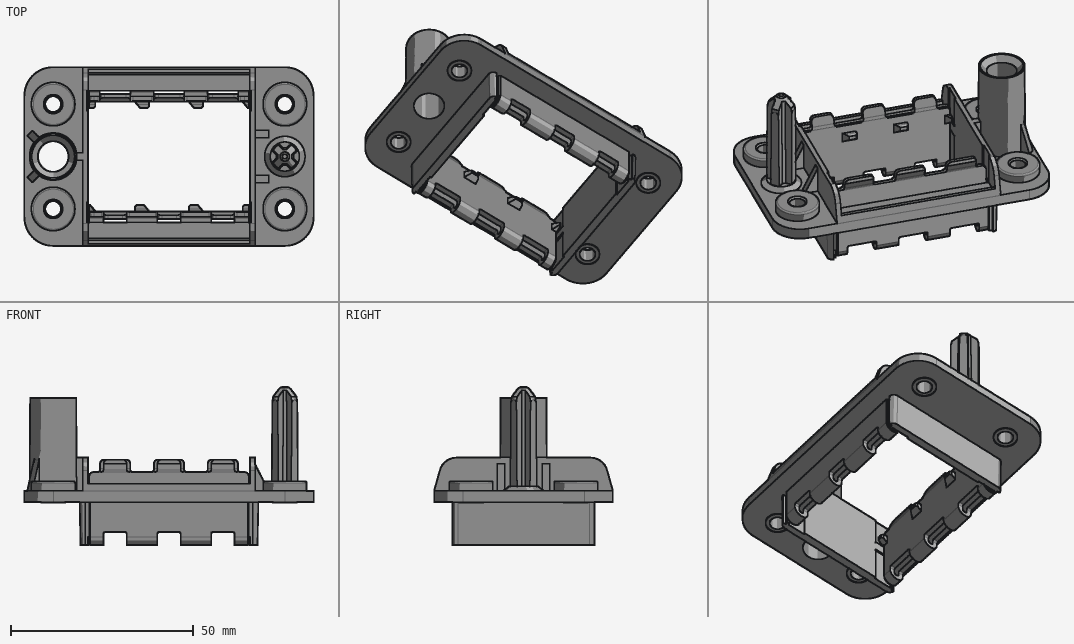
import cadquery as cq
import math

PLATE_LENGTH = 79.3
PLATE_WIDTH = 49.0
PLATE_THICKNESS = 3.1
PLATE_CORNER_RADIUS = 7.9
BODY_BOTTOM = -11.8

WINDOW_HALF_LENGTH = 22.1
WINDOW_HALF_WIDTH = 18.0

BOSS_X = 31.7
BOSS_Y = 14.35
BOSS_DIAMETER = 12.0
BOSS_TOP = 5.7
BOSS_FILLET = 0.5
SCREW_HOLE_DIAMETER = 4.3
SCREW_CHAMFER = 0.5
PAD_DIAMETER = 6.6
PAD_HEIGHT = 0.2

END_WALL_OUTER_X = 23.55
END_WALL_TOP = 12.2
END_WALL_LEAN = 0.28
END_WALL_TOP_RADIUS = 4.8
END_SKIRT_OUTER_X = 24.5
END_SKIRT_BOTTOM_X = 24.3
END_SKIRT_CORNER_RADIUS = 1.5
CLEARANCE_DEPTH = 0.4
CLEARANCE_START_Y = 12.5

RIM_TOP = 5.1
RIM_TOP_WIDTH = 1.0
RIM_INNER_RUN = 0.5
LEDGE_TOP = 3.6

WALL_THICKNESS = 1.5
CHANNEL_WIDTH = 1.5
WALL_INNER_Y = WINDOW_HALF_WIDTH - CHANNEL_WIDTH - WALL_THICKNESS
SKIRT_OUTER_Y = WINDOW_HALF_WIDTH + WALL_THICKNESS
WALL_HALF_LENGTH = 21.9
WALL_TOP = 8.25
WALL_CORNER_RADIUS = 1.3
WALL_CHAMFER = 0.3
GROOVE_OUTER_X = 22.9
GROOVE_DEPTH = 0.8

LUG_PITCH = 14.75
LUG_STEPS = (-1, 0, 1)
HOOK_STEPS = (-1.5, -0.5, 0.5, 1.5)
LUG_TOP = 11.65
LUG_OVERHANG = 0.6
LUG_LIP_BOTTOM = 10.55
LUG_LEAN = 1.1
LUG_INNER_BLEND = (0.15, 9.2)
LUG_OUTER_BLEND = (0.1, 8.9)
LUG_BLEND_RADIUS = 2.5
LUG_CORNER_RADIUS = 1.2
LUG_FOOT_RADIUS = 0.6
FRONT_LUG_WIDTH = 6.35
BACK_LUG_WIDTH = 8.3
NOTCH_TOP = -8.25
NOTCH_CORNER_RADIUS = 0.5

HOOK_REACH = 1.75
HOOK_WIDTH = 3.9
HOOK_BOTTOM = 2.85
HOOK_TIP_BOTTOM = 4.2
HOOK_TOP = 5.55
HOOK_TIP_TOP = 5.3
HOOK_FLAT = 0.7
HOOK_TIP_CHAMFER = 0.5
HOOK_SLANT = 1.4

TUBE_X = -31.7
TUBE_TOP = 28.55
TUBE_BASE_DIAMETER = 13.0
TUBE_TOP_DIAMETER = 12.7
TUBE_BORE_DIAMETER = 8.3
TUBE_MOUTH_DIAMETER = 11.7
TUBE_MOUTH_DEPTH = 1.6
RIB_THICKNESS = 2.0
TUBE_RIB_REACH = 9.05
TUBE_RIB_TOP = 11.9
TUBE_RIB_ANGLES = (135, 225)

POST_X = 31.7
POST_TOP = 31.6
POST_BASE_DIAMETER = 11.1
POST_BASE_TOP_DIAMETER = 8.0
POST_BASE_HEIGHT = 1.2
ARM_ANGLES = (45, 135)
ARM_REACH = 3.8
ARM_BASE_WIDTH = 2.7
ARM_TOP_WIDTH = 2.1
POST_CORE_BASE_WIDTH = 4.9
POST_CORE_TOP_WIDTH = 3.8
POST_SHOULDERS = ((4.0, 27.35), (3.65, 28.9), (1.3, 31.3), (0.675, POST_TOP))

GUSSET_Y = 6.2
GUSSET_THICKNESS = 2.1
GUSSET_TOP = 10.5
GUSSET_FOOT_X = 27.3


def box(x0, x1, y0, y1, z0, z1):
    """Box between two opposite corners."""
    return cq.Workplane("XY").box(x1 - x0, y1 - y0, z1 - z0, centered=False).translate((x0, y0, z0))


def prism_along_x(points, x0, x1):
    """Closed (y, z) outline extruded from x0 to x1."""
    return cq.Workplane("YZ").polyline(points).close().extrude(x1 - x0).translate((x0, 0, 0))


def prism_along_y(points, thickness, y=0.0):
    """Closed (x, z) outline extruded in Y, centred on y."""
    return cq.Workplane("XZ").polyline(points).close().extrude(thickness / 2, both=True).translate((0, y, 0))


def edge_y(z):
    """Half width of the leaning long sides at height z."""
    return PLATE_WIDTH / 2 - END_WALL_LEAN * (z - PLATE_THICKNESS)


def make_plate():
    plate = cq.Workplane("XY").rect(PLATE_LENGTH, PLATE_WIDTH).extrude(PLATE_THICKNESS)
    plate = plate.edges("|Z").fillet(PLATE_CORNER_RADIUS)
    window = box(-WINDOW_HALF_LENGTH, WINDOW_HALF_LENGTH, -WINDOW_HALF_WIDTH, WINDOW_HALF_WIDTH,
                 0, PLATE_THICKNESS)
    return plate.cut(window)


def make_end_wall():
    """Wall at +X: rounded blade above the plate and a skirt below it."""
    blade = prism_along_x(
        [(-edge_y(PLATE_THICKNESS), PLATE_THICKNESS), (-edge_y(END_WALL_TOP), END_WALL_TOP),
         (edge_y(END_WALL_TOP), END_WALL_TOP), (edge_y(PLATE_THICKNESS), PLATE_THICKNESS)],
        WINDOW_HALF_LENGTH, END_WALL_OUTER_X)
    blade = blade.edges("|X and >Z").fillet(END_WALL_TOP_RADIUS)
    skirt = prism_along_y(
        [(WINDOW_HALF_LENGTH, 0), (END_SKIRT_OUTER_X, 0), (END_SKIRT_BOTTOM_X, BODY_BOTTOM),
         (WINDOW_HALF_LENGTH, BODY_BOTTOM)], 2 * SKIRT_OUTER_Y)
    skirt = skirt.faces(">X").edges("not |Y").fillet(END_SKIRT_CORNER_RADIUS)
    return blade.union(skirt)


def make_end_wall_clearance():
    """Cuts at +X: pockets beside the spring walls and grooves beside the side skirts."""
    cuts = cq.Workplane("XY")
    groove_floor_y = SKIRT_OUTER_Y - GROOVE_DEPTH
    pocket = box(WALL_HALF_LENGTH, WINDOW_HALF_LENGTH + CLEARANCE_DEPTH,
                 CLEARANCE_START_Y, WINDOW_HALF_WIDTH, BODY_BOTTOM, END_WALL_TOP)
    groove = box(WALL_HALF_LENGTH, GROOVE_OUTER_X, groove_floor_y, SKIRT_OUTER_Y, BODY_BOTTOM, 0)
    for cut in (pocket, groove):
        cuts = cuts.add(cut).add(cut.mirror("XZ"))
    return cuts.combine()


def make_rim():
    """Raised rim and ledge along the -Y side of the plate."""
    crest_y = edge_y(RIM_TOP)
    inner_y = crest_y - RIM_TOP_WIDTH
    return prism_along_x(
        [(-edge_y(PLATE_THICKNESS), PLATE_THICKNESS), (-crest_y, RIM_TOP), (-inner_y, RIM_TOP),
         (-inner_y + RIM_INNER_RUN, LEDGE_TOP), (-WINDOW_HALF_WIDTH, LEDGE_TOP),
         (-WINDOW_HALF_WIDTH, PLATE_THICKNESS)],
        -WINDOW_HALF_LENGTH, WINDOW_HALF_LENGTH)


def make_channel():
    """U section at -Y: side skirt, rounded bottom and free spring wall."""
    outer_radius = (SKIRT_OUTER_Y - WALL_INNER_Y) / 2
    inner_radius = CHANNEL_WIDTH / 2
    centre_y = -(SKIRT_OUTER_Y + WALL_INNER_Y) / 2
    centre_z = BODY_BOTTOM + outer_radius
    section = (
        cq.Workplane("YZ")
        .moveTo(-SKIRT_OUTER_Y, 0)
        .lineTo(-SKIRT_OUTER_Y, centre_z)
        .threePointArc((centre_y, BODY_BOTTOM), (-WALL_INNER_Y, centre_z))
        .lineTo(-WALL_INNER_Y, WALL_TOP)
        .lineTo(-WALL_INNER_Y - WALL_THICKNESS, WALL_TOP)
        .lineTo(-WALL_INNER_Y - WALL_THICKNESS, centre_z)
        .threePointArc((centre_y, centre_z - inner_radius), (-WINDOW_HALF_WIDTH, centre_z))
        .lineTo(-WINDOW_HALF_WIDTH, 0)
        .close()
    )
    channel = section.extrude(WALL_HALF_LENGTH, both=True)
    channel = channel.edges("|Y and >Z").fillet(WALL_CORNER_RADIUS)
    inner_top_edge = cq.selectors.NearestToPointSelector((0, -WALL_INNER_Y, WALL_TOP))
    channel = channel.edges(inner_top_edge).chamfer(WALL_CHAMFER)
    web = box(-GROOVE_OUTER_X, GROOVE_OUTER_X, -SKIRT_OUTER_Y + GROOVE_DEPTH, -WINDOW_HALF_WIDTH,
              centre_z, 0)
    return channel.union(web)


def make_notch(width, x):
    """Cutter for a notch through the bottom of the channel at -Y."""
    notch = box(x - width / 2, x + width / 2, -SKIRT_OUTER_Y, -WALL_INNER_Y, BODY_BOTTOM, NOTCH_TOP)
    return notch.edges("|Y and >Z").fillet(NOTCH_CORNER_RADIUS)


def make_lug(width, x):
    """Outward leaning lug with an undercut lip on top of the wall at -Y."""
    half = width / 2
    foot = half + LUG_FOOT_RADIUS
    wall_outer_y = -WALL_INNER_Y - WALL_THICKNESS
    lip_y = wall_outer_y - LUG_OVERHANG
    root_z = WALL_TOP - WALL_CHAMFER
    inner_travel, inner_blend_top = LUG_INNER_BLEND
    outer_travel, outer_blend_top = LUG_OUTER_BLEND
    section = (
        cq.Workplane("YZ")
        .moveTo(-WALL_INNER_Y, root_z)
        .lineTo(-WALL_INNER_Y, WALL_TOP)
        .radiusArc((-WALL_INNER_Y - inner_travel, inner_blend_top), -LUG_BLEND_RADIUS)
        .lineTo(-WALL_INNER_Y - LUG_LEAN, LUG_TOP)
        .lineTo(lip_y, LUG_TOP)
        .lineTo(lip_y, LUG_LIP_BOTTOM)
        .lineTo(wall_outer_y - outer_travel, outer_blend_top)
        .radiusArc((wall_outer_y, WALL_TOP), LUG_BLEND_RADIUS)
        .lineTo(wall_outer_y, root_z)
        .close()
        .extrude(foot, both=True)
    )
    outline = (
        cq.Workplane("XZ")
        .moveTo(-foot, root_z)
        .lineTo(-foot, WALL_TOP)
        .radiusArc((-half, WALL_TOP + LUG_FOOT_RADIUS), -LUG_FOOT_RADIUS)
        .lineTo(-half, LUG_TOP - LUG_CORNER_RADIUS)
        .radiusArc((-half + LUG_CORNER_RADIUS, LUG_TOP), LUG_CORNER_RADIUS)
        .lineTo(half - LUG_CORNER_RADIUS, LUG_TOP)
        .radiusArc((half, LUG_TOP - LUG_CORNER_RADIUS), LUG_CORNER_RADIUS)
        .lineTo(half, WALL_TOP + LUG_FOOT_RADIUS)
        .radiusArc((foot, WALL_TOP), -LUG_FOOT_RADIUS)
        .lineTo(foot, root_z)
        .close()
        .extrude(PLATE_WIDTH / 2)
    )
    return section.intersect(outline).translate((x, 0, 0))


def make_hook(x):
    """Snap hook on the inner face of the wall at -Y, one flank slanted, cut off at the wall end."""
    half = HOOK_WIDTH / 2
    root_y = -WALL_INNER_Y
    tip_y = root_y + HOOK_REACH
    section = prism_along_x(
        [(root_y, HOOK_BOTTOM), (root_y, HOOK_TOP), (root_y + HOOK_FLAT, HOOK_TOP),
         (tip_y, HOOK_TIP_TOP), (tip_y, HOOK_TIP_BOTTOM)],
        -WALL_HALF_LENGTH, WALL_HALF_LENGTH)
    outline = (
        cq.Workplane("XY")
        .polyline([(x - half, root_y), (x - half, tip_y - HOOK_TIP_CHAMFER),
                   (x - half + HOOK_TIP_CHAMFER, tip_y), (x + half - HOOK_SLANT, tip_y),
                   (x + half, root_y)])
        .close()
        .extrude(HOOK_TOP)
    )
    return section.intersect(outline)


def make_long_side(lug_width):
    """Complete -Y long side with lugs and notches of the given width."""
    side = make_rim().union(make_channel())
    for step in LUG_STEPS:
        side = side.cut(make_notch(lug_width, step * LUG_PITCH))
        side = side.union(make_lug(lug_width, step * LUG_PITCH))
    for step in HOOK_STEPS:
        side = side.union(make_hook(step * LUG_PITCH))
    return side


def make_tube():
    """Tapered tube with two diagonal ribs and a rib to the end wall, not yet bored."""
    tube = (
        cq.Workplane("XY").circle(TUBE_BASE_DIAMETER / 2)
        .workplane(offset=TUBE_TOP).circle(TUBE_TOP_DIAMETER / 2).loft()
    )
    rib = prism_along_y(
        [(0, 0), (TUBE_RIB_REACH, 0), (TUBE_RIB_REACH, PLATE_THICKNESS),
         (TUBE_TOP_DIAMETER / 2, TUBE_RIB_TOP), (0, TUBE_RIB_TOP)], RIB_THICKNESS)
    for angle in TUBE_RIB_ANGLES:
        tube = tube.union(rib.rotate((0, 0, 0), (0, 0, 1), angle))
    wall_rib = box(0, -END_WALL_OUTER_X - TUBE_X, -RIB_THICKNESS / 2, RIB_THICKNESS / 2, 0, END_WALL_TOP)
    return tube.union(wall_rib).translate((TUBE_X, 0, 0))


def make_tube_bore():
    """Through bore with a conical mouth."""
    bore = TUBE_BORE_DIAMETER / 2
    mouth = TUBE_MOUTH_DIAMETER / 2
    return (
        cq.Workplane("XZ")
        .polyline([(0, 0), (bore, 0), (bore, TUBE_TOP - TUBE_MOUTH_DEPTH), (mouth, TUBE_TOP), (0, TUBE_TOP)])
        .close().revolve(360, (0, 0), (0, 1))
        .translate((TUBE_X, 0, 0))
    )


def make_post():
    """Cross-shaped post with a pointed tip on a conical foot."""
    post = (
        cq.Workplane("XY").rect(POST_CORE_BASE_WIDTH, POST_CORE_BASE_WIDTH)
        .workplane(offset=POST_TOP).rect(POST_CORE_TOP_WIDTH, POST_CORE_TOP_WIDTH).loft()
    )
    arm = (
        cq.Workplane("XZ")
        .polyline([(-ARM_BASE_WIDTH / 2, 0), (ARM_BASE_WIDTH / 2, 0),
                   (ARM_TOP_WIDTH / 2, POST_TOP), (-ARM_TOP_WIDTH / 2, POST_TOP)])
        .close().extrude(ARM_REACH, both=True)
    )
    for angle in ARM_ANGLES:
        post = post.union(arm.rotate((0, 0, 0), (0, 0, 1), angle))
    shaft_radius = math.hypot(ARM_REACH, ARM_BASE_WIDTH / 2)
    envelope = (
        cq.Workplane("XZ")
        .polyline([(0, 0), (shaft_radius, 0), *POST_SHOULDERS, (0, POST_TOP)])
        .close().revolve(360, (0, 0), (0, 1))
    )
    foot = (
        cq.Workplane("XY").workplane(offset=PLATE_THICKNESS).circle(POST_BASE_DIAMETER / 2)
        .workplane(offset=POST_BASE_HEIGHT).circle(POST_BASE_TOP_DIAMETER / 2).loft()
    )
    return post.intersect(envelope).union(foot).translate((POST_X, 0, 0))


def make_gussets():
    profile = [(END_WALL_OUTER_X, PLATE_THICKNESS), (END_WALL_OUTER_X, GUSSET_TOP),
               (GUSSET_FOOT_X, PLATE_THICKNESS)]
    gusset = prism_along_y(profile, GUSSET_THICKNESS, GUSSET_Y)
    return gusset.union(gusset.mirror("XZ"))


def screw_points():
    return cq.Workplane("XY").rect(2 * BOSS_X, 2 * BOSS_Y, forConstruction=True).vertices()


def make_bosses():
    bosses = screw_points().circle(BOSS_DIAMETER / 2).extrude(BOSS_TOP)
    bosses = bosses.faces(">Z").edges().fillet(BOSS_FILLET)
    pads = screw_points().circle(PAD_DIAMETER / 2).extrude(-PAD_HEIGHT)
    return bosses.union(pads)


def make_screw_holes():
    """Through holes with a chamfered top edge."""
    bore = SCREW_HOLE_DIAMETER / 2
    hole = (
        cq.Workplane("XZ")
        .polyline([(0, -PAD_HEIGHT), (bore, -PAD_HEIGHT), (bore, BOSS_TOP - SCREW_CHAMFER),
                   (bore + SCREW_CHAMFER, BOSS_TOP), (0, BOSS_TOP)])
        .close().revolve(360, (0, 0), (0, 1)).val()
    )
    return screw_points().eachpoint(lambda place: hole.moved(place), combine=True)


front_side = make_long_side(FRONT_LUG_WIDTH)
back_side = make_long_side(BACK_LUG_WIDTH).rotate((0, 0, 0), (0, 0, 1), 180)
end_wall = make_end_wall().cut(make_end_wall_clearance())

result = make_plate()
for part in (end_wall, end_wall.mirror("YZ"), front_side, back_side,
             make_bosses(), make_tube(), make_post(), make_gussets()):
    result = result.union(part)
result = result.cut(make_tube_bore()).cut(make_screw_holes())